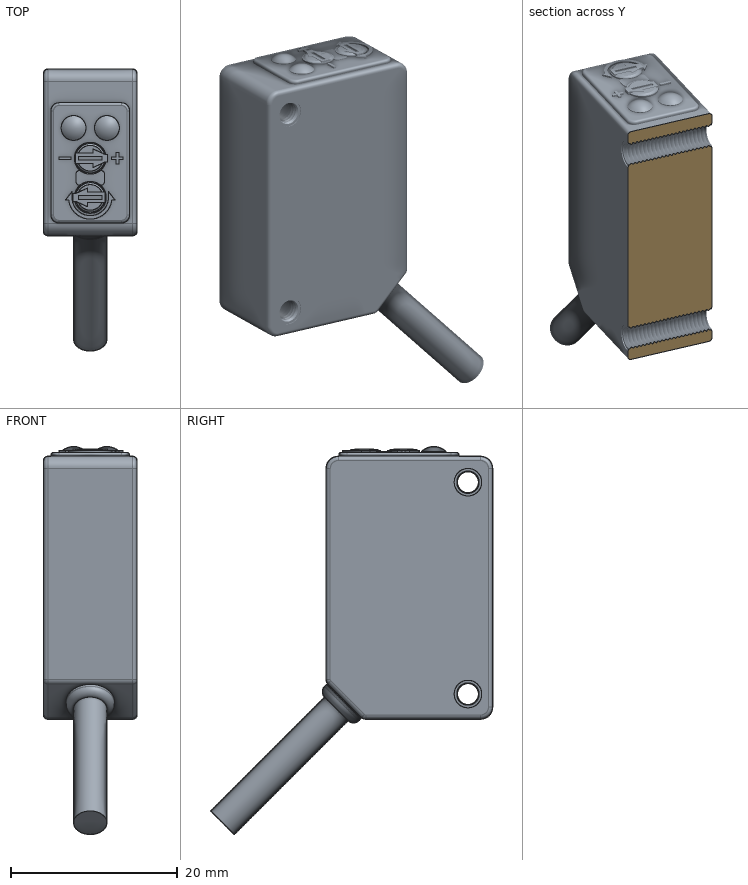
import cadquery as cq
import math


WIDTH = 11.2
DEPTH = 20.0
HEIGHT = 31.55
CORNER_RADIUS = 1.5
SIDE_EDGE_RADIUS = 0.5
CABLE_CHAMFER = 4.45
CHAMFER_EDGE_RADIUS = 0.75

HOLE_DIAMETER = 2.5
GROOVE_DIAMETER = 3.0
GROOVE_COUNT = 22
RECESS_DIAMETER = 3.3
RECESS_DEPTH = 0.1
HOLE_TO_BACK = 3.0
HOLE_TO_TOP = 3.1
HOLE_SPACING = 25.4

CABLE_DIAMETER = 4.0
CABLE_LENGTH = 20.7
COLLAR_DIAMETER = 5.8
COLLAR_HEIGHT = 1.4
NECK_DIAMETER = 5.02
NECK_HEIGHT = 0.15
CABLE_EMBED = 0.45
CABLE_TURN = 225

PANEL_WIDTH = 9.45
PANEL_LENGTH = 14.4
PANEL_HEIGHT = 0.45
PANEL_Y = -1.25
PANEL_CORNER_RADIUS = 1.0
PANEL_EDGE_RADIUS = 0.33
EMBED = 0.2

DOME_DIAMETER = 3.0
DOME_HEIGHT = 0.7
DOME_BASE_HEIGHT = 0.1
DOME_X = 2.0
DOME_Y = 2.95

UPPER_KNOB_Y = -0.7
LOWER_KNOB_Y = -5.4
KNOB_DIAMETER = 3.8
KNOB_BASE_HEIGHT = 0.21
CAP_DIAMETER = 3.55
CAP_TOP_DIAMETER = 3.05
CAP_HEIGHT = 0.15
POINTER_HEIGHT = 0.4
POINTER_REACH = 2.1
POINTER_TIP_WIDTH = 0.95
SHAFT_WIDTH = 1.25
HEAD_WIDTH = 2.25
HEAD_X = 0.33
SLOT_LENGTH = 2.8
SLOT_WIDTH = 0.45
SLOT_DEPTH = 0.2

MARK_HEIGHT = 0.25
BRIDGE_HEIGHT = 0.1
BRIDGE_WIDTH = 3.4
BRIDGE_LENGTH = 1.75
BRIDGE_CORNER_RADIUS = 0.4
SIGN_LENGTH = 1.4
SIGN_STROKE = 0.33
MINUS_X = -3.02
PLUS_X = 3.25
ARC_INNER_RADIUS = 2.2
ARC_OUTER_RADIUS = 2.6
ARROW_TIP_Y = 0.7
ARROW_BASE_Y = -0.33
ARROW_OUTER_X = 3.0

PANEL_TOP = HEIGHT + PANEL_HEIGHT
FRONT_Y = -DEPTH / 2
BACK_Y = DEPTH / 2


def housing():
    """Box with rounded edges and a 45 degree chamfer for the cable at the lower front."""
    body = (
        cq.Workplane("YZ")
        .moveTo(FRONT_Y, CABLE_CHAMFER)
        .lineTo(FRONT_Y, HEIGHT)
        .lineTo(BACK_Y, HEIGHT)
        .lineTo(BACK_Y, 0)
        .lineTo(FRONT_Y + CABLE_CHAMFER, 0)
        .close()
        .extrude(WIDTH / 2, both=True)
    )
    body = body.edges("|X and (>Z or >Y)").fillet(CORNER_RADIUS)
    chamfer_ends = cq.selectors.BoxSelector(
        (-WIDTH, FRONT_Y - CABLE_CHAMFER, -CABLE_CHAMFER),
        (WIDTH, FRONT_Y + 2 * CABLE_CHAMFER, 2 * CABLE_CHAMFER),
    )
    body = body.edges("|X").edges(chamfer_ends).fillet(CHAMFER_EDGE_RADIUS)
    return body.faces("<X or >X").edges().fillet(SIDE_EDGE_RADIUS)


def cylinder_along_x(diameter, y, z, x_start, x_end):
    return (
        cq.Workplane("YZ", origin=(x_start, y, z))
        .circle(diameter / 2)
        .extrude(x_end - x_start)
    )


def mounting_hole(z):
    """Through hole with thread-like ring grooves and a shallow round recess at each end."""
    y = BACK_Y - HOLE_TO_BACK
    half = WIDTH / 2
    groove_width = WIDTH / GROOVE_COUNT
    bore = cq.Workplane("XY").moveTo(-half, 0).lineTo(-half, HOLE_DIAMETER / 2)
    for index in range(GROOVE_COUNT):
        groove_start = index * groove_width - half
        bore = bore.lineTo(groove_start + groove_width / 2, GROOVE_DIAMETER / 2)
        bore = bore.lineTo(groove_start + groove_width, HOLE_DIAMETER / 2)
    bore = bore.lineTo(half, 0).close().revolve(360, (0, 0), (1, 0))
    return (
        bore.translate((0, y, z))
        .union(cylinder_along_x(RECESS_DIAMETER, y, z, -half, RECESS_DEPTH - half))
        .union(cylinder_along_x(RECESS_DIAMETER, y, z, half - RECESS_DEPTH, half))
    )


def cable():
    """Cable and rounded collar, turned about the axis square to the chamfer."""
    cable_radius = CABLE_DIAMETER / 2
    collar_radius = COLLAR_DIAMETER / 2
    round_radius = collar_radius - cable_radius
    round_start = COLLAR_HEIGHT - round_radius
    round_middle = round_radius * math.sqrt(0.5)
    neck_radius = NECK_DIAMETER / 2
    half_chamfer = CABLE_CHAMFER / 2
    collar_and_cable = (
        cq.Workplane("XY")
        .moveTo(0, -CABLE_EMBED)
        .lineTo(neck_radius, -CABLE_EMBED)
        .lineTo(neck_radius, NECK_HEIGHT)
        .lineTo(collar_radius, NECK_HEIGHT)
        .lineTo(collar_radius, round_start)
        .threePointArc(
            (cable_radius + round_middle, round_start + round_middle),
            (cable_radius, COLLAR_HEIGHT),
        )
        .lineTo(cable_radius, CABLE_LENGTH)
        .lineTo(0, CABLE_LENGTH)
        .close()
        .revolve(360, (0, 0), (0, 1))
    )
    tilted = collar_and_cable.rotate((0, 0, 0), (1, 0, 0), CABLE_TURN)
    return tilted.translate((0, FRONT_Y + half_chamfer, half_chamfer))


def panel():
    return (
        cq.Workplane("XY", origin=(0, PANEL_Y, HEIGHT - EMBED))
        .rect(PANEL_WIDTH, PANEL_LENGTH)
        .extrude(PANEL_HEIGHT + EMBED)
        .edges("|Z")
        .fillet(PANEL_CORNER_RADIUS)
        .faces(">Z")
        .edges()
        .fillet(PANEL_EDGE_RADIUS)
    )


def on_panel(x, y):
    """Workplane just below the panel's top face, where raised parts start."""
    return cq.Workplane("XY", origin=(x, y, PANEL_TOP - EMBED))


def dome(x):
    """Spherical cap on a low round base."""
    base_radius = DOME_DIAMETER / 2
    cap_height = DOME_HEIGHT - DOME_BASE_HEIGHT
    sphere_radius = (base_radius**2 + cap_height**2) / (2 * cap_height)
    sphere_z = PANEL_TOP + DOME_HEIGHT - sphere_radius
    sphere = cq.Workplane("XY", origin=(x, DOME_Y, sphere_z)).sphere(sphere_radius)
    column = on_panel(x, DOME_Y).circle(base_radius).extrude(EMBED + DOME_HEIGHT)
    return sphere.intersect(column)


def knob(y, turn):
    """Round knob with a bevelled cap and a slotted arrow, turned by an angle about Z."""
    base = on_panel(0, 0).circle(KNOB_DIAMETER / 2).extrude(EMBED + KNOB_BASE_HEIGHT)
    cap = (
        base.faces(">Z")
        .workplane()
        .circle(CAP_DIAMETER / 2)
        .workplane(offset=CAP_HEIGHT)
        .circle(CAP_TOP_DIAMETER / 2)
        .loft(combine=False)
    )
    shaft_half = SHAFT_WIDTH / 2
    head_half = HEAD_WIDTH / 2
    tip_half = POINTER_TIP_WIDTH / 2
    tail_x = -CAP_DIAMETER / 2
    neck_x = CAP_DIAMETER / 2
    pointer = (
        on_panel(0, 0)
        .polyline(
            [
                (tail_x, shaft_half),
                (HEAD_X, shaft_half),
                (HEAD_X, head_half),
                (neck_x, tip_half),
                (POINTER_REACH, tip_half),
                (POINTER_REACH, -tip_half),
                (neck_x, -tip_half),
                (HEAD_X, -head_half),
                (HEAD_X, -shaft_half),
                (tail_x, -shaft_half),
            ]
        )
        .close()
        .extrude(EMBED + POINTER_HEIGHT)
    )
    slot = (
        cq.Workplane("XY", origin=(0, 0, PANEL_TOP + POINTER_HEIGHT - SLOT_DEPTH))
        .rect(SLOT_LENGTH, SLOT_WIDTH)
        .extrude(SLOT_DEPTH)
    )
    shape = base.union(cap).union(pointer).cut(slot)
    return shape.rotate((0, 0, 0), (0, 0, 1), turn).translate((0, y, 0))


def bar(x, length_x, length_y):
    return on_panel(x, UPPER_KNOB_Y).rect(length_x, length_y).extrude(EMBED + MARK_HEIGHT)


def bridge():
    """Rounded pad that joins the two knobs."""
    return (
        on_panel(0, (UPPER_KNOB_Y + LOWER_KNOB_Y) / 2)
        .rect(BRIDGE_WIDTH, BRIDGE_LENGTH)
        .extrude(EMBED + BRIDGE_HEIGHT)
        .edges("|Z")
        .fillet(BRIDGE_CORNER_RADIUS)
    )


def turn_arrow():
    """Arc below the lower knob with an arrowhead at each end."""
    outer_x = math.sqrt(ARC_OUTER_RADIUS**2 - ARROW_BASE_Y**2)
    inner_x = math.sqrt(ARC_INNER_RADIUS**2 - ARROW_BASE_Y**2)
    return (
        on_panel(0, LOWER_KNOB_Y)
        .moveTo(inner_x, ARROW_BASE_Y)
        .lineTo(ARC_INNER_RADIUS, ARROW_TIP_Y)
        .lineTo(ARROW_OUTER_X, ARROW_BASE_Y)
        .lineTo(outer_x, ARROW_BASE_Y)
        .threePointArc((0, -ARC_OUTER_RADIUS), (-outer_x, ARROW_BASE_Y))
        .lineTo(-ARROW_OUTER_X, ARROW_BASE_Y)
        .lineTo(-ARC_INNER_RADIUS, ARROW_TIP_Y)
        .lineTo(-inner_x, ARROW_BASE_Y)
        .threePointArc((0, -ARC_INNER_RADIUS), (inner_x, ARROW_BASE_Y))
        .close()
        .extrude(EMBED + MARK_HEIGHT)
    )


upper_hole_z = HEIGHT - HOLE_TO_TOP
result = housing().union(cable())
for hole_z in (upper_hole_z, upper_hole_z - HOLE_SPACING):
    result = result.cut(mounting_hole(hole_z))

result = result.union(panel())
for dome_x in (-DOME_X, DOME_X):
    result = result.union(dome(dome_x))

result = result.union(bridge())
result = result.union(knob(UPPER_KNOB_Y, 0))
result = result.union(knob(LOWER_KNOB_Y, 180))
result = result.union(turn_arrow())

minus_sign = bar(MINUS_X, SIGN_LENGTH, SIGN_STROKE)
plus_sign = bar(PLUS_X, SIGN_LENGTH, SIGN_STROKE).union(bar(PLUS_X, SIGN_STROKE, SIGN_LENGTH))
result = result.union(minus_sign).union(plus_sign)